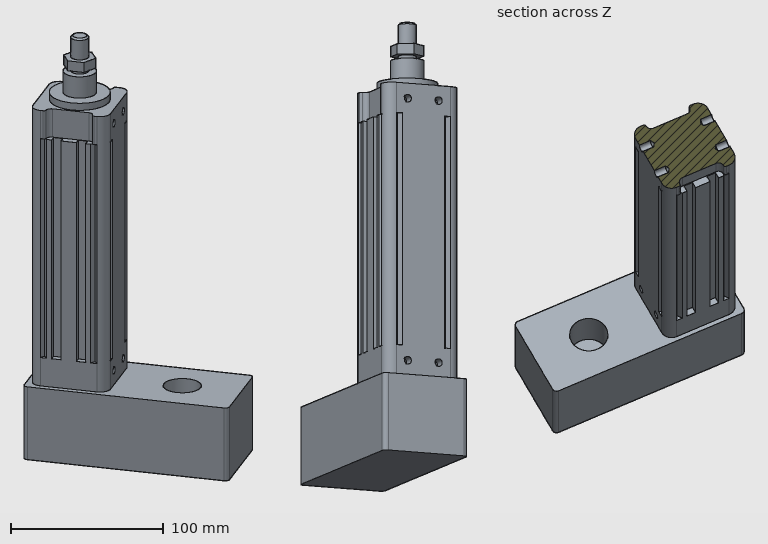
import cadquery as cq
import math


housing_length = 140.0
housing_width = 60.0
housing_height = 51.5
housing_corner_radius = 3.0
bore_diameter = 25.0
bore_depth = housing_height / 2
bore_offset = 70.0
housing_center_x = 40.0
housing_center_y = -0.5

tube_width = 53.0
tube_height = 194.5
tube_corner_radius = 7.25
tube_half = tube_width / 2
tube_bottom = housing_height
tube_top = tube_bottom + tube_height

plain_end_length = 20.0
groove_bottom = tube_bottom + plain_end_length
groove_top = tube_top - plain_end_length
groove_length = groove_top - groove_bottom
groove_inner_edge = 15.0
groove_outer_edge = tube_half - tube_corner_radius
groove_root = 17.2
groove_depth = 3.0
recess_floor_half = 12.3
recess_inner_radius = 3.5
recess_lip_radius = 1.5
recess_depth = recess_inner_radius + recess_lip_radius
slot_width = 6.2
slot_center = 8.4
slot_depth = 4.5

hole_diameter = 5.0
hole_depth = 8.0
hole_tip_angle = 118.0
hole_spacing = 22.0
hole_end_distance = 10.0

collar_diameter = 40.0
collar_height = 5.0
neck_diameter = 22.0
neck_height = 15.0
rod_diameter = 12.0
rod_length = 25.0
rod_chamfer = 1.25
nut_across_flats = 19.0
nut_height = 7.0
nut_gap = 3.0

collar_top = tube_top + collar_height
neck_top = collar_top + neck_height


def make_housing():
    """Rounded block with a blind bore at the drive end."""
    block = (
        cq.Workplane("XY")
        .center(housing_center_x, housing_center_y)
        .rect(housing_length, housing_width)
        .extrude(housing_height)
        .edges("|Z")
        .fillet(housing_corner_radius)
    )
    bore = (
        cq.Workplane("XY", origin=(bore_offset, housing_center_y, housing_height - bore_depth))
        .circle(bore_diameter / 2)
        .extrude(bore_depth)
    )
    return block.cut(bore)


def v_groove(side):
    """V-groove in the -Y face; side is -1 or 1 along X."""
    return (
        cq.Workplane("XY", origin=(0, 0, groove_bottom))
        .moveTo(side * groove_inner_edge, -tube_half)
        .lineTo(side * groove_root, -tube_half + groove_depth)
        .lineTo(side * groove_outer_edge, -tube_half)
        .close()
        .extrude(groove_length)
    )


def straight_slot(side):
    """Rectangular slot in the -Y face, shallower than the end recess."""
    return (
        cq.Workplane("XY", origin=(side * slot_center, -tube_half + slot_depth / 2, groove_bottom))
        .rect(slot_width, slot_depth)
        .extrude(groove_length)
    )


def end_recess():
    """Recess at the top of the -Y face, with S-shaped flanks made of two quarter arcs."""
    face_y = -tube_half
    lip_y = face_y + recess_lip_radius
    floor_y = face_y + recess_depth
    wall_x = recess_floor_half + recess_inner_radius
    mouth_x = wall_x + recess_lip_radius
    diagonal = math.sqrt(0.5)
    lip_mid_x = mouth_x - recess_lip_radius * diagonal
    lip_mid_y = lip_y - recess_lip_radius * diagonal
    inner_mid_x = recess_floor_half + recess_inner_radius * diagonal
    inner_mid_y = lip_y + recess_inner_radius * diagonal
    return (
        cq.Workplane("XY", origin=(0, 0, groove_top))
        .moveTo(-mouth_x, face_y)
        .threePointArc((-lip_mid_x, lip_mid_y), (-wall_x, lip_y))
        .threePointArc((-inner_mid_x, inner_mid_y), (-recess_floor_half, floor_y))
        .lineTo(recess_floor_half, floor_y)
        .threePointArc((inner_mid_x, inner_mid_y), (wall_x, lip_y))
        .threePointArc((lip_mid_x, lip_mid_y), (mouth_x, face_y))
        .close()
        .extrude(plain_end_length)
    )


def mounting_hole(y, z):
    """Blind drilled hole with a conical tip, entering the -X face."""
    radius = hole_diameter / 2
    tip_length = radius / math.tan(math.radians(hole_tip_angle / 2))
    return (
        cq.Workplane("XY", origin=(-tube_half, y, z))
        .lineTo(hole_depth + tip_length, 0)
        .lineTo(hole_depth, radius)
        .lineTo(0, radius)
        .close()
        .revolve(360, (0, 0, 0), (1, 0, 0))
    )


def make_tube():
    """Square tube with grooves on all four faces, slots and recesses on the two Y faces."""
    tube = (
        cq.Workplane("XY", origin=(0, 0, tube_bottom))
        .rect(tube_width, tube_width)
        .extrude(tube_height)
        .edges("|Z")
        .fillet(tube_corner_radius)
    )
    z_axis = ((0, 0, 0), (0, 0, 1))
    for side in (-1, 1):
        for angle in (0, 90, 180, 270):
            tube = tube.cut(v_groove(side).rotate(*z_axis, angle))
        for angle in (0, 180):
            tube = tube.cut(straight_slot(side).rotate(*z_axis, angle))
    for angle in (0, 180):
        tube = tube.cut(end_recess().rotate(*z_axis, angle))
        for y in (-hole_spacing / 2, hole_spacing / 2):
            for z in (tube_bottom + hole_end_distance, tube_top - hole_end_distance):
                tube = tube.cut(mounting_hole(y, z).rotate(*z_axis, angle))
    return tube


def make_rod_end():
    """Collar, neck and chamfered rod carrying a hexagon nut with corners on the X axis."""
    collar = cq.Workplane("XY", origin=(0, 0, tube_top)).circle(collar_diameter / 2).extrude(collar_height)
    neck = cq.Workplane("XY", origin=(0, 0, collar_top)).circle(neck_diameter / 2).extrude(neck_height)
    rod = (
        cq.Workplane("XY", origin=(0, 0, neck_top))
        .circle(rod_diameter / 2)
        .extrude(rod_length)
        .faces(">Z")
        .chamfer(rod_chamfer)
    )
    nut_across_corners = nut_across_flats / math.cos(math.pi / 6)
    nut = (
        cq.Workplane("XY", origin=(0, 0, neck_top + nut_gap))
        .polygon(6, nut_across_corners)
        .extrude(nut_height)
    )
    return collar.union(neck).union(rod).union(nut)


result = make_housing().union(make_tube()).union(make_rod_end())